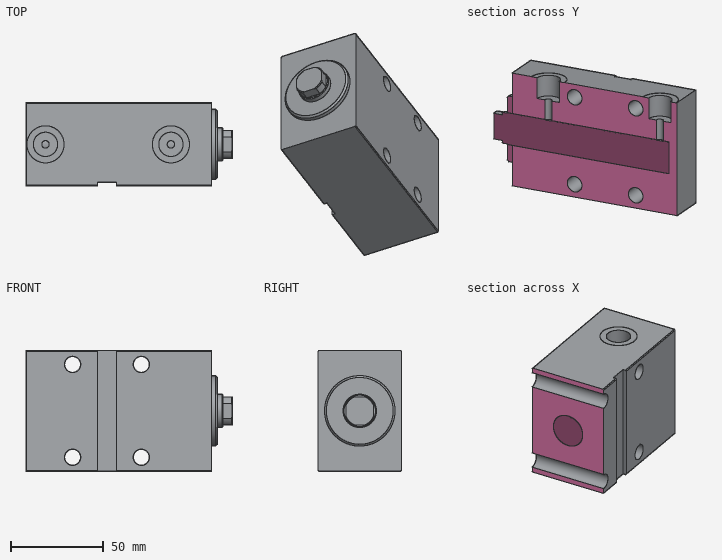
import cadquery as cq

block_length = 99.8
block_width = 45.0
block_height = 65.0
edge_chamfer = 0.5

slot_width = 10.0
slot_depth = 2.0
slot_center_x = 43.5

mount_diameter = 8.5
mount_spacing_x = 37.0
mount_spacing_z = 50.0

port_centers_x = (10.4, 77.9)
spotface_diameter = 20.0
spotface_depth = 0.1
port_diameter = 13.1
port_depth = 12.0
feed_diameter = 4.0

gland_diameter = 38.0
gland_thickness = 3.1
gland_chamfer = 1.0

rod_diameter = 18.0
rod_end_wall = 5.0
rod_chamfer = 0.5
collar_length = 3.0
total_length = 111.0

square_width = 15.0
square_corner_diameter = 17.0

front_y = -block_width / 2
top_z = block_height / 2
gland_end_x = block_length + gland_thickness
collar_end_x = gland_end_x + collar_length


def x_cylinder(diameter, start_x, end_x):
    """Cylinder on the X axis between two X positions."""
    return cq.Workplane("YZ", origin=(start_x, 0, 0)).circle(diameter / 2).extrude(end_x - start_x)


def top_hole(center_x, diameter, bottom_z):
    """Cutter for a hole from the top face down to bottom_z."""
    return (
        cq.Workplane("XY", origin=(center_x, 0, bottom_z))
        .circle(diameter / 2)
        .extrude(top_z - bottom_z)
    )


def make_port(center_x):
    """Cutter for one port: spotface, wide bore and feed hole down to the rod bore."""
    spotface = top_hole(center_x, spotface_diameter, top_z - spotface_depth)
    bore = top_hole(center_x, port_diameter, top_z - port_depth)
    feed = top_hole(center_x, feed_diameter, 0)
    return spotface.union(bore).union(feed)


def make_slot():
    """Cutter for the keyway in the front face."""
    slot = cq.Workplane("XY").box(slot_width, 2 * slot_depth, block_height)
    return slot.translate((slot_center_x, front_y, 0))


def make_mount_holes():
    """Cutter for the four mounting holes, running the full width of the block."""
    return (
        cq.Workplane("XZ", origin=(slot_center_x, -front_y, 0))
        .rect(mount_spacing_x, mount_spacing_z, forConstruction=True)
        .vertices()
        .circle(mount_diameter / 2)
        .extrude(block_width)
    )


def make_block():
    """Block with chamfered long edges, keyway, mounting holes, rod bore and ports."""
    block = cq.Workplane("XY").box(block_length, block_width, block_height)
    block = block.translate((block_length / 2, 0, 0)).edges("|X").chamfer(edge_chamfer)
    block = block.cut(make_slot()).cut(make_mount_holes())
    block = block.cut(x_cylinder(rod_diameter, rod_end_wall, block_length))
    for center_x in port_centers_x:
        block = block.cut(make_port(center_x))
    return block


def make_gland():
    """Ring against the right face, with a chamfered outer rim and the rod passing through."""
    disc = x_cylinder(gland_diameter, block_length, gland_end_x).faces(">X").edges().chamfer(gland_chamfer)
    return disc.cut(x_cylinder(rod_diameter, block_length, gland_end_x))


def make_rod():
    """Round rod with a chamfered shoulder and a square wrench end with turned corners."""
    shaft = x_cylinder(rod_diameter, rod_end_wall, collar_end_x).faces(">X").edges().chamfer(rod_chamfer)
    turned_end = x_cylinder(square_corner_diameter, collar_end_x, total_length)
    turned_end = turned_end.faces(">X").edges().chamfer(rod_chamfer)
    square = (
        cq.Workplane("YZ", origin=(collar_end_x, 0, 0))
        .rect(square_width, square_width)
        .extrude(total_length - collar_end_x)
    )
    return shaft.union(turned_end.intersect(square))


block = make_block()
gland = make_gland()
rod = make_rod()

result = cq.Compound.makeCompound([block.val(), gland.val(), rod.val()])